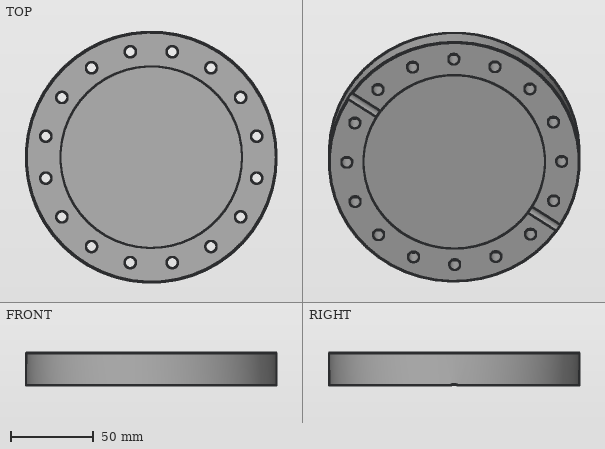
import cadquery as cq

flange_diameter = 152.0
flange_height = 20.0
edge_chamfer = 0.5
bore_diameter = 110.0

bolt_count = 16
bolt_circle_diameter = 130.3
bolt_hole_diameter = 6.7
bolt_start_angle = 360 / bolt_count / 2

groove_depth = 1.0
groove_diameter = 6.1

disc_recess = 5.6
disc_bottom = 0.5
disc_thickness = flange_height - disc_recess - disc_bottom


def make_flange():
    """Chamfered ring with a circle of bolt holes and a groove underneath."""
    blank = (
        cq.Workplane("XY")
        .circle(flange_diameter / 2)
        .extrude(flange_height)
        .edges()
        .chamfer(edge_chamfer)
    )
    bore = cq.Workplane("XY").circle(bore_diameter / 2).extrude(flange_height)
    bolt_holes = (
        cq.Workplane("XY")
        .polarArray(bolt_circle_diameter / 2, bolt_start_angle, 360, bolt_count)
        .circle(bolt_hole_diameter / 2)
        .extrude(flange_height)
    )
    return blank.cut(bore).cut(bolt_holes).cut(make_groove())


def make_groove():
    """Cylinder along X whose top lies groove_depth above the underside."""
    axis_height = groove_depth - groove_diameter / 2
    return (
        cq.Workplane("YZ")
        .center(0, axis_height)
        .circle(groove_diameter / 2)
        .extrude(flange_diameter / 2, both=True)
    )


def make_disc():
    """Plain disc seated in the bore, below the top face of the flange."""
    return (
        cq.Workplane("XY")
        .workplane(offset=disc_bottom)
        .circle(bore_diameter / 2)
        .extrude(disc_thickness)
    )


flange = make_flange()
disc = make_disc()

result = cq.Compound.makeCompound([flange.solids().val(), disc.val()])